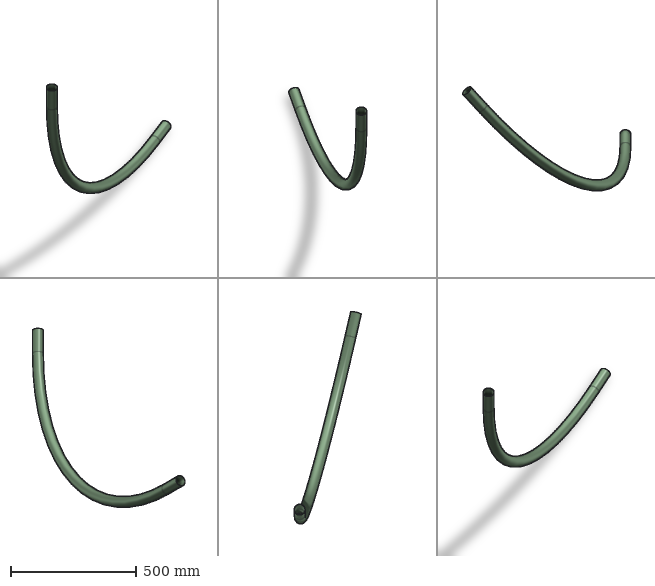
import cadquery as cq

overall_size = 1038.0
outer_diameter = 45.0
bore_diameter = 42.0
end_length = 101.0

bend_radius = overall_size - end_length - outer_diameter / 2


def straight_end(plane):
    """Straight pipe end, extruded along the plane normal."""
    return (
        cq.Workplane(plane)
        .circle(outer_diameter / 2)
        .circle(bore_diameter / 2)
        .extrude(end_length)
    )


def quarter_bend():
    """Quarter-turn pipe around the X axis, from the -Y side down to the -Z side."""
    return (
        cq.Workplane("XY")
        .center(0, -bend_radius)
        .circle(outer_diameter / 2)
        .circle(bore_diameter / 2)
        .revolve(90, (0, bend_radius, 0), (1, bend_radius, 0))
    )


upper_end = straight_end(cq.Plane(origin=(0, -bend_radius, 0), normal=(0, 0, 1)))
lower_end = straight_end(
    cq.Plane(origin=(0, 0, -bend_radius), xDir=(1, 0, 0), normal=(0, 1, 0))
)

result = quarter_bend().union(upper_end).union(lower_end)